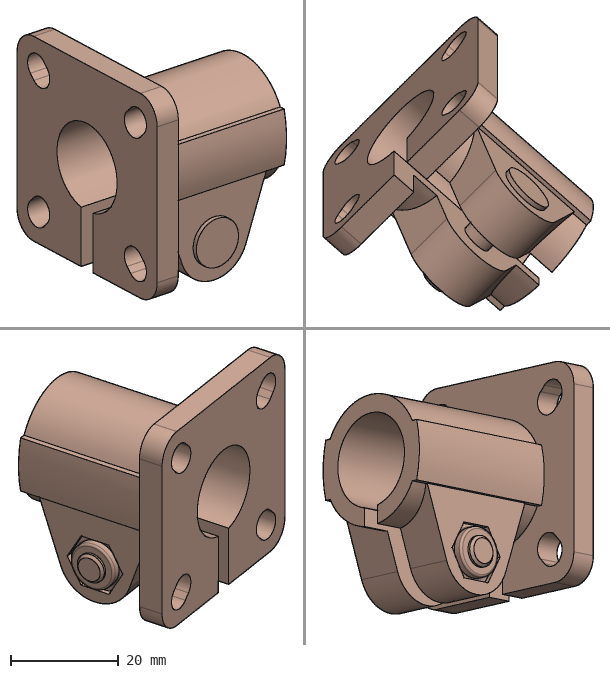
import cadquery as cq
import math

height = 46.0
length = 37.0

flange_side = 42.0
flange_thickness = 5.0
flange_corner_radius = 5.0

slot_width = 5.5
slot_center_distance = 1.5
slot_offset = 14.5

bore_diameter = 18.0
tube_diameter = 25.02
slit_width = 3.5

flank_half_height = 5.75
flank_edge_x = 12.3
flank_crest_x = 13.0

lug_outer_x = 11.5
lug_top_width = 25.0
lug_radius = 8.0
lug_y = 21.0
lug_z = flange_side / 2 - height + lug_radius

bolt_diameter = 6.0
bolt_tip_x = -13.5
bolt_chamfer = 0.55
head_diameter = 10.0
head_projection = 0.95

pocket_across_flats = 10.63
pocket_depth = 2.0
nut_shoulder_depth = 0.8
nut_cone_top_diameter = 10.0
nut_cone_base_diameter = 11.8
nut_cone_angle = 15.0
collar_diameter = 9.6
collar_projection = 0.95
collar_fillet = 0.45


def make_flange():
    return (
        cq.Workplane("XY")
        .box(flange_side, flange_thickness, flange_side, centered=(True, False, True))
        .edges("|Y")
        .fillet(flange_corner_radius)
    )


def make_slot_cutters():
    """Four slots, each pointing at the bore axis."""
    cutters = cq.Workplane("XY")
    for x_sign in (-1, 1):
        for z_sign in (-1, 1):
            slot = (
                cq.Workplane("XZ", origin=(x_sign * slot_offset, 0, z_sign * slot_offset))
                .slot2D(slot_width + slot_center_distance, slot_width, 45 * x_sign * z_sign)
                .extrude(-flange_thickness)
            )
            cutters = cutters.add(slot)
    return cutters.combine()


def make_tube():
    tube = cq.Workplane("XZ").circle(tube_diameter / 2).extrude(-length)
    flanks = (
        cq.Workplane("XZ")
        .moveTo(-flank_edge_x, flank_half_height)
        .lineTo(flank_edge_x, flank_half_height)
        .threePointArc((flank_crest_x, 0), (flank_edge_x, -flank_half_height))
        .lineTo(-flank_edge_x, -flank_half_height)
        .threePointArc((-flank_crest_x, 0), (-flank_edge_x, flank_half_height))
        .close()
        .extrude(-length)
    )
    return tube.union(flanks)


def make_lugs():
    """One tapered block with a round end; the slit later splits it into two lugs."""
    top_rise = -flank_half_height - lug_z
    half_top = lug_top_width / 2
    corner_angle = math.atan2(top_rise, half_top)
    tangent_angle = corner_angle - math.acos(lug_radius / math.hypot(half_top, top_rise))
    tangent_y = lug_radius * math.cos(tangent_angle)
    tangent_z = lug_z + lug_radius * math.sin(tangent_angle)
    return (
        cq.Workplane("YZ")
        .moveTo(lug_y - half_top, -flank_half_height)
        .lineTo(lug_y - tangent_y, tangent_z)
        .threePointArc((lug_y, lug_z - lug_radius), (lug_y + tangent_y, tangent_z))
        .lineTo(lug_y + half_top, -flank_half_height)
        .lineTo(lug_y + half_top, 0)
        .lineTo(lug_y - half_top, 0)
        .close()
        .extrude(lug_outer_x, both=True)
    )


def make_slit_cutter():
    """Slot from the bore axis down through tube, flange and lugs."""
    return cq.Workplane("XY", origin=(0, 0, -height)).box(
        slit_width, length, height, centered=(True, False, False)
    )


def bolt_axis_plane(x):
    """Plane across the bolt axis at the given X."""
    return cq.Workplane("YZ", origin=(x, lug_y, lug_z))


def make_nut_pocket_cutter():
    """Hexagonal pocket that leaves the nut's collar and conical shoulder standing inside it."""
    corner_diameter = pocket_across_flats / math.cos(math.radians(30))
    hexagon = bolt_axis_plane(-lug_outer_x).polygon(6, corner_diameter).extrude(pocket_depth)
    cone_top_radius = nut_cone_top_diameter / 2
    cone_base_radius = nut_cone_base_diameter / 2
    cone_drop = (cone_base_radius - cone_top_radius) * math.tan(math.radians(nut_cone_angle))
    nut = (
        cq.Workplane("XY")
        .moveTo(0, 0)
        .lineTo(0, collar_diameter / 2)
        .lineTo(nut_shoulder_depth, collar_diameter / 2)
        .lineTo(nut_shoulder_depth, cone_top_radius)
        .lineTo(nut_shoulder_depth + cone_drop, cone_base_radius)
        .lineTo(pocket_depth, cone_base_radius)
        .lineTo(pocket_depth, 0)
        .close()
        .revolve(360, (0, 0), (1, 0))
        .translate((-lug_outer_x, lug_y, lug_z))
    )
    return hexagon.cut(nut)


def make_collar():
    return (
        bolt_axis_plane(-lug_outer_x)
        .circle(collar_diameter / 2)
        .extrude(-collar_projection)
        .faces("<X")
        .edges()
        .fillet(collar_fillet)
    )


def make_bolt():
    shank = (
        bolt_axis_plane(bolt_tip_x)
        .circle(bolt_diameter / 2)
        .extrude(lug_outer_x - bolt_tip_x)
        .faces("<X")
        .chamfer(bolt_chamfer)
    )
    head = bolt_axis_plane(lug_outer_x).circle(head_diameter / 2).extrude(head_projection)
    return shank.union(head)


bore = cq.Workplane("XZ").circle(bore_diameter / 2).extrude(-length)

body = make_flange().cut(make_slot_cutters()).union(make_tube()).union(make_lugs())
body = body.cut(bore).cut(make_slit_cutter()).cut(make_nut_pocket_cutter())
result = body.union(make_collar()).union(make_bolt())